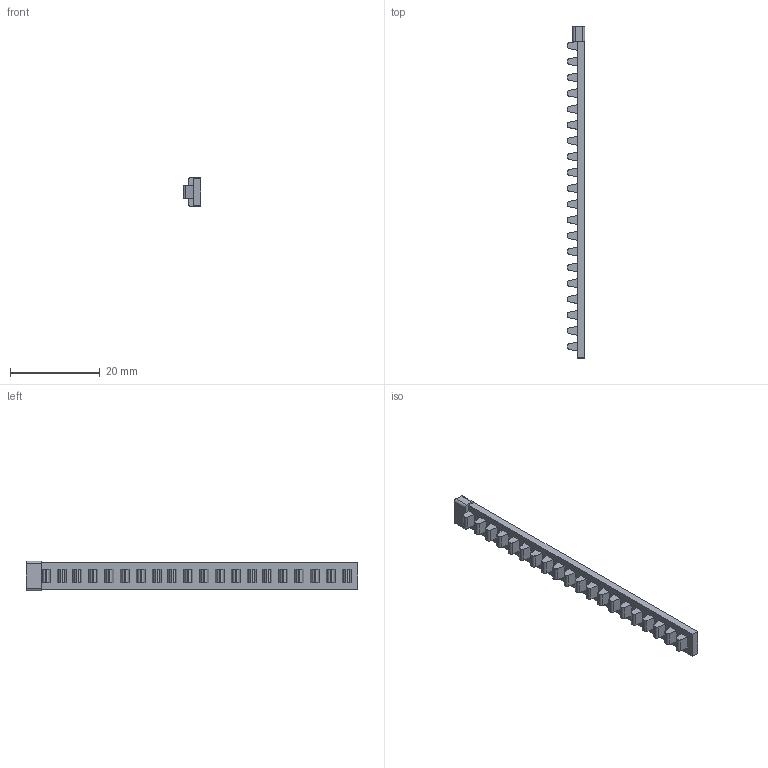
import cadquery as cq
import math

overall_depth = 3.9
overall_length = 74.09

tooth_count = 20
rack_module = 1.125
pitch = math.pi * rack_module
plate_length = tooth_count * pitch
plate_thickness = 1.6
plate_height = 6.0

tooth_base_width = 2.0
tooth_tip_width = 1.12
tooth_depth = overall_depth - plate_thickness
tooth_height = 3.0
tooth_tip_radius = 0.5

head_length = overall_length - plate_length
head_thickness = 2.7
head_height = 6.61
head_edge_radius = 0.55


def make_plate():
    """Flat bar along Y, back face on X = 0, toothed face at X = -plate_thickness."""
    plate = cq.Workplane("XY").box(plate_thickness, plate_length, plate_height)
    return plate.translate((-plate_thickness / 2, plate_length / 2, 0))


def make_head():
    """Thicker block with its four lengthwise edges rounded."""
    head = cq.Workplane("XY").box(head_thickness, head_length, head_height)
    head = head.edges("|Y").fillet(head_edge_radius)
    return head.translate((-head_thickness / 2, plate_length + head_length / 2, 0))


def make_tooth(center_y):
    """Tapered tooth pointing to -X with both tip edges rounded."""
    base_x = -plate_thickness
    tip_x = base_x - tooth_depth
    tooth = (
        cq.Workplane("XY", origin=(0, center_y, -tooth_height / 2))
        .moveTo(base_x, -tooth_base_width / 2)
        .lineTo(tip_x, -tooth_tip_width / 2)
        .lineTo(tip_x, tooth_tip_width / 2)
        .lineTo(base_x, tooth_base_width / 2)
        .close()
        .extrude(tooth_height)
    )
    return tooth.faces("<X").edges("|Z").fillet(tooth_tip_radius)


result = make_plate().union(make_head())

first_tooth_y = plate_length - tooth_base_width / 2
for index in range(tooth_count):
    result = result.union(make_tooth(first_tooth_y - index * pitch))